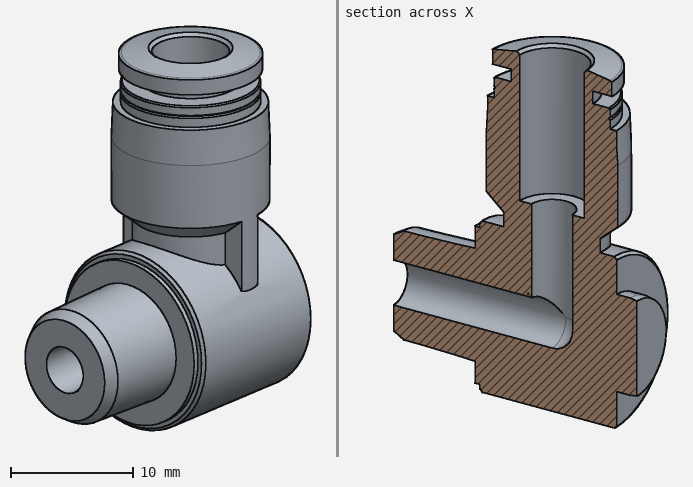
import cadquery as cq


barrel_diameter = 15.4
barrel_back = 6.4
barrel_front = -7.13
barrel_chamfer = 0.25
boss_diameter = 8.75
boss_back = 8.38
boss_taper_length = 0.7
boss_taper_depth = 0.13
flange_diameter = 14.1
flange_front = -7.6
overall_depth = 24.0
stub_front = boss_back - overall_depth
stub_base_radius = 5.1
stub_end_radius = 4.9
stub_chamfer_length = 1.0
stub_tip_radius = 4.33

overall_height = 31.4
socket_top = overall_height - barrel_diameter / 2
stem_radius = 4.77
stem_top = 8.95
socket_diameter = 13.0
socket_bottom = 10.4
socket_taper_start = 15.95
socket_shoulder = 19.0
socket_shoulder_radius = 6.37
ring_diameter = 11.5
ring_edge = 0.13
ring_groove_height = 19.9
ring_top = 20.85
collet_neck_diameter = 8.1
collet_diameter = 11.8
collet_bottom = 21.92
collet_rim_height = 23.25
collet_face_radius = 5.68
collet_face_edge_height = 23.33

rib_thickness = 2.0
flow_diameter = 4.0
tube_bore_diameter = 6.35
tube_bore_floor = socket_bottom
mouth_radius = 3.45
mouth_chamfer = mouth_radius - tube_bore_diameter / 2


def revolve_about_y(profile):
    """Revolve a closed (radius, y) profile about the Y axis."""
    return cq.Workplane("XY").polyline(profile).close().revolve(360, (0, 0), (0, 1))


def revolve_about_z(profile):
    """Revolve a closed (radius, z) profile about the Z axis."""
    return cq.Workplane("XZ").polyline(profile).close().revolve(360, (0, 0), (0, 1))


def make_barrel():
    """Barrel with rear boss, front flange and tapered stub."""
    barrel_radius = barrel_diameter / 2
    boss_radius = boss_diameter / 2
    flange_radius = flange_diameter / 2
    return revolve_about_y([
        (0, boss_back),
        (boss_radius - boss_taper_depth, boss_back),
        (boss_radius, boss_back - boss_taper_length),
        (boss_radius, barrel_back),
        (barrel_radius - barrel_chamfer, barrel_back),
        (barrel_radius, barrel_back - barrel_chamfer),
        (barrel_radius, barrel_front + barrel_chamfer),
        (barrel_radius - barrel_chamfer, barrel_front),
        (flange_radius, barrel_front),
        (flange_radius, flange_front),
        (stub_base_radius, flange_front),
        (stub_end_radius, stub_front + stub_chamfer_length),
        (stub_tip_radius, stub_front),
        (0, stub_front),
    ])


def make_socket():
    """Stem, socket body, grooved ring and release collet."""
    socket_radius = socket_diameter / 2
    ring_radius = ring_diameter / 2
    neck_radius = collet_neck_diameter / 2
    collet_radius = collet_diameter / 2
    return revolve_about_z([
        (0, 0),
        (stem_radius, 0),
        (stem_radius, stem_top),
        (socket_radius, socket_bottom),
        (socket_radius, socket_taper_start),
        (socket_shoulder_radius, socket_shoulder),
        (ring_radius, socket_shoulder),
        (ring_radius, ring_groove_height - ring_edge),
        (ring_radius - ring_edge, ring_groove_height),
        (ring_radius, ring_groove_height + ring_edge),
        (ring_radius, ring_top - ring_edge),
        (ring_radius - ring_edge, ring_top),
        (neck_radius, ring_top),
        (neck_radius, collet_bottom),
        (collet_radius, collet_bottom),
        (collet_radius, collet_rim_height),
        (collet_face_radius, collet_face_edge_height),
        (mouth_radius, socket_top),
        (0, socket_top),
    ])


def make_ribs():
    """Flat web joining the barrel to the socket, standing out as a rib on each side."""
    web = cq.Workplane("XY").rect(socket_diameter, rib_thickness).extrude(socket_bottom)
    envelope = cq.Workplane("XY").circle(socket_diameter / 2).extrude(socket_bottom)
    return web.intersect(envelope)


def make_passages():
    """Flow bores joined by a spherical elbow, plus the tube bore with a chamfered mouth."""
    flow_radius = flow_diameter / 2
    bore_radius = tube_bore_diameter / 2
    elbow = cq.Workplane("XY").sphere(flow_radius)
    front_bore = cq.Workplane("XZ").circle(flow_radius).extrude(-stub_front)
    upper_bore = cq.Workplane("XY").circle(flow_radius).extrude(tube_bore_floor)
    tube_bore = revolve_about_z([
        (0, tube_bore_floor),
        (bore_radius, tube_bore_floor),
        (bore_radius, socket_top - mouth_chamfer),
        (mouth_radius, socket_top),
        (0, socket_top),
    ])
    return elbow.union(front_bore).union(upper_bore).union(tube_bore)


result = make_barrel().union(make_socket()).union(make_ribs()).cut(make_passages())